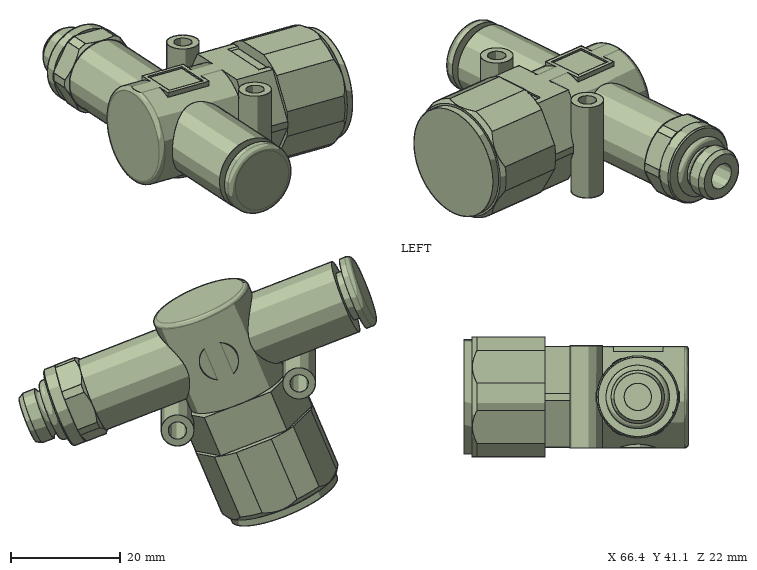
import cadquery as cq
import math


run_diameter = 13.8
run_left = -24.85
run_right = 25.0
branch_diameter = 18.7
branch_front = -9.3
branch_front_fillet = 0.8

hex_front = 9.0
hex_back = 16.9
hex_across_slanted_flats = 20.6
half_flat_height = 9.2
barrel_diameter = 23.05

strip_width = 3.45
pad_width = 8.6
pad_length = 9.0
pad_base = 6.65
label_width = 7.1
label_length = 7.45
label_depth = 0.3
pad_y = -0.05
boss_diameter = 7.2
pocket_width = 10.3
pocket_length = 2.1
pocket_depth = 0.3
pocket_end_slope = 0.3

lug_diameter = 6.0
lug_hole_diameter = 3.3
lug_offset_x = 12.0
lug_y = 9.4
lug_height = 18.7

cap_shoulder = 30.35
cap_back = 31.8
cap_across_flats = 22.0
cap_rim_diameter = 21.0
cap_chamfer_length = 0.9
cap_chamfer_depth = 0.6

stud_left = -37.7
stud_bore_diameter = 5.0
thread_diameter = 9.75
thread_right = -34.45
thread_chamfer_length = 1.0
thread_chamfer_depth = 0.5
thread_runout_length = 1.05
neck_diameter = 8.1
ring_diameter = 11.6
collar_diameter = 15.0
collar_chamfer = 0.25
collar_left = -31.7
collar_right = -29.2
stud_hex_across_flats = 14.0
stud_hex_corner_diameter = 15.35
stud_hex_chamfer_length = 0.5

sleeve_neck_diameter = 9.2
sleeve_flange_diameter = 13.6
sleeve_flange_left = 26.55
sleeve_right = 28.7
sleeve_fillet = 1.0


def cylinder_along_x(diameter, left, right):
    return cq.Workplane("YZ", origin=(left, 0, 0)).circle(diameter / 2).extrude(right - left)


def cylinder_along_y(diameter, front, back):
    return cq.Workplane("XZ", origin=(0, front, 0)).circle(diameter / 2).extrude(front - back)


def box(width, length, center_y, bottom, top):
    return (
        cq.Workplane("XY", origin=(0, center_y, bottom))
        .rect(width, length)
        .extrude(top - bottom)
    )


def hexagon_diameter(across_flats):
    return across_flats / math.cos(math.pi / 6)


def make_branch_cylinder():
    """Branch cylinder, filleted in front, with a flat strip along its top."""
    branch = cylinder_along_y(branch_diameter, branch_front, hex_front)
    branch = branch.faces("<Y").edges().fillet(branch_front_fillet)
    strip_length = hex_front - branch_front
    strip_center = (hex_front + branch_front) / 2
    strip = box(strip_width, strip_length, strip_center, half_flat_height, branch_diameter / 2)
    return branch.cut(strip)


def make_hexagon_block():
    """Hexagon with corners at +X and -X, trimmed by the barrel and by two flats."""
    length = hex_back - hex_front
    block = (
        cq.Workplane("XZ", origin=(0, hex_front, 0))
        .polygon(6, hexagon_diameter(hex_across_slanted_flats))
        .extrude(-length)
    )
    block = block.intersect(cylinder_along_y(barrel_diameter, hex_front, hex_back))
    center_y = (hex_front + hex_back) / 2
    return block.intersect(box(barrel_diameter, length, center_y, -half_flat_height, half_flat_height))


def make_pocket():
    """Shallow pocket with sloping ends, open at the back of the hexagon block."""
    half_width = pocket_width / 2
    floor_half_width = half_width - pocket_end_slope
    floor = half_flat_height - pocket_depth
    return (
        cq.Workplane("XZ", origin=(0, hex_back, 0))
        .moveTo(-half_width, half_flat_height)
        .lineTo(-floor_half_width, floor)
        .lineTo(floor_half_width, floor)
        .lineTo(half_width, half_flat_height)
        .close()
        .extrude(pocket_length)
    )


def at_lugs(diameter):
    return (
        cq.Workplane("XY", origin=(0, lug_y, -lug_height / 2))
        .pushPoints([(-lug_offset_x, 0), (lug_offset_x, 0)])
        .circle(diameter / 2)
        .extrude(lug_height)
    )


def make_housing():
    pad = box(pad_width, pad_length, pad_y, pad_base, half_flat_height)
    label_recess = box(label_width, label_length, pad_y, half_flat_height - label_depth, half_flat_height)
    boss = (
        cq.Workplane("XY", origin=(0, 0, -half_flat_height))
        .circle(boss_diameter / 2)
        .extrude(half_flat_height - pad_base)
    )
    return (
        make_branch_cylinder()
        .union(cylinder_along_x(run_diameter, run_left, run_right))
        .union(make_hexagon_block())
        .union(pad)
        .union(boss)
        .union(at_lugs(lug_diameter))
        .cut(label_recess)
        .cut(make_pocket())
        .cut(at_lugs(lug_hole_diameter))
    )


def make_cap():
    """Hexagonal cap with rounded corners, a chamfered back and a round rim."""
    length = cap_shoulder - hex_back
    barrel = cylinder_along_y(barrel_diameter, hex_back, cap_shoulder)
    barrel = barrel.faces(">Y").chamfer(cap_chamfer_length, cap_chamfer_depth)
    grip = (
        cq.Workplane("XZ", origin=(0, hex_back, 0))
        .polygon(6, hexagon_diameter(cap_across_flats))
        .extrude(-length)
    )
    rim = cylinder_along_y(cap_rim_diameter, cap_shoulder, cap_back)
    return grip.intersect(barrel).union(rim)


def make_stud_hexagon():
    """Hexagon with its corners at +Y and -Y, turned round and coned at the right."""
    length = run_left - collar_right
    cone_start = run_left - stud_hex_chamfer_length
    blank = (
        cq.Workplane("XY")
        .moveTo(collar_right, 0)
        .lineTo(collar_right, stud_hex_corner_diameter / 2)
        .lineTo(cone_start, stud_hex_corner_diameter / 2)
        .lineTo(run_left, stud_hex_across_flats / 2)
        .lineTo(run_left, 0)
        .close()
        .revolve(360, (0, 0, 0), (1, 0, 0))
    )
    hexagon = (
        cq.Workplane("YZ", origin=(collar_right, 0, 0))
        .polygon(6, hexagon_diameter(stud_hex_across_flats))
        .extrude(length)
    )
    return hexagon.intersect(blank)


def make_stud():
    """Threaded end with a seal ring, a collar and a hexagon, bored right through.

    The thread runs out into the neck along a concave arc tangent to the neck.
    """
    thread_radius = thread_diameter / 2
    neck_radius = neck_diameter / 2
    ring_radius = ring_diameter / 2
    collar_radius = collar_diameter / 2
    ring_section = (ring_radius - neck_radius) / 2
    ring_center_radius = neck_radius + ring_section
    ring_x = collar_left - ring_section
    runout_depth = thread_radius - neck_radius
    runout_radius = (thread_runout_length**2 + runout_depth**2) / (2 * runout_depth)
    ring_arc_offset = ring_section * math.sqrt(0.5)
    turned = (
        cq.Workplane("XY")
        .moveTo(stud_left, 0)
        .lineTo(stud_left, thread_radius - thread_chamfer_depth)
        .lineTo(stud_left + thread_chamfer_length, thread_radius)
        .lineTo(thread_right, thread_radius)
        .radiusArc((thread_right + thread_runout_length, neck_radius), -runout_radius)
        .lineTo(ring_x, neck_radius)
        .threePointArc(
            (ring_x - ring_arc_offset, ring_center_radius + ring_arc_offset),
            (collar_left, ring_center_radius),
        )
        .lineTo(collar_left, collar_radius - collar_chamfer)
        .lineTo(collar_left + collar_chamfer, collar_radius)
        .lineTo(collar_right, collar_radius)
        .lineTo(collar_right, 0)
        .close()
        .revolve(360, (0, 0, 0), (1, 0, 0))
    )
    bore = cylinder_along_x(stud_bore_diameter, stud_left, run_left)
    return turned.union(make_stud_hexagon()).cut(bore)


def make_release_sleeve():
    flange = cylinder_along_x(sleeve_flange_diameter, sleeve_flange_left, sleeve_right)
    flange = flange.faces(">X").edges().fillet(sleeve_fillet)
    return flange.union(cylinder_along_x(sleeve_neck_diameter, run_right, sleeve_flange_left))


housing = make_housing()
cap = make_cap()
stud = make_stud()
release_sleeve = make_release_sleeve()

result = cq.Compound.makeCompound([housing.val(), cap.val(), stud.val(), release_sleeve.val()])